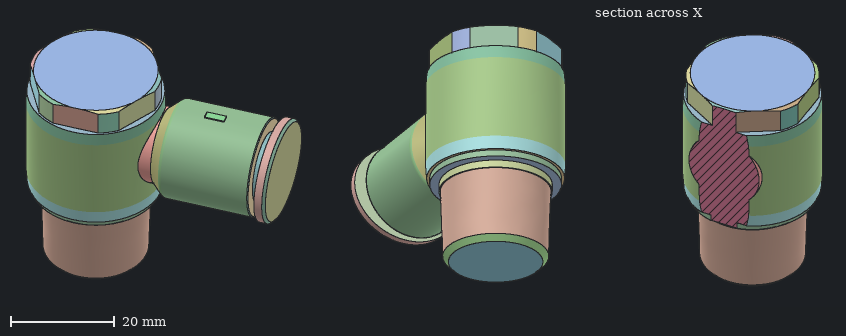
import cadquery as cq
import math

total_height = 44.8

body_radius = 13.5
body_taper = 0.2
body_bottom = 17.8
lower_band_top = 20.4
upper_band_bottom = 37.2
body_top = 39.8
washer_radius = 12.7
washer_bottom = 16.5
collar_radius = 10.9
collar_bottom = 15.0
thread_top_radius = 10.68
thread_taper = 1 / 32
tip_chamfer = 1.15

hex_across_flats = 24.0
hex_corner_radius = 12.85
hex_chamfer_height = 0.3

arm_axis_height = 29.7
neck_radius = 7.6
cone_start = 13.73
cone_end = 16.0
cone_end_radius = 9.65
sleeve_start = 16.6
sleeve_end = 34.3
sleeve_radius = 9.9
sleeve_end_chamfer = 0.2

release_radius = 7.1
flange_start = 36.05
flange_end = 38.2
flange_half_width = 11.35
flange_half_height = 9.8
flange_chamfer = 0.55

mark_start = 22.35
mark_length = 4.0
mark_width = 1.6
mark_rise = 0.2


def make_stem_and_body():
    band_radius = body_radius - body_taper
    thread_bottom_radius = thread_top_radius - thread_taper * (collar_bottom - tip_chamfer)
    profile = [
        (0, 0),
        (thread_bottom_radius - tip_chamfer, 0),
        (thread_bottom_radius, tip_chamfer),
        (thread_top_radius, collar_bottom),
        (collar_radius, collar_bottom),
        (collar_radius, washer_bottom),
        (washer_radius, washer_bottom),
        (washer_radius, body_bottom),
        (band_radius, body_bottom),
        (body_radius, lower_band_top),
        (body_radius, upper_band_bottom),
        (band_radius, body_top),
        (0, body_top),
    ]
    return cq.Workplane("XZ").polyline(profile).close().revolve(360, (0, 0), (0, 1))


def make_hex_head():
    head_height = total_height - body_top
    across_corners = hex_across_flats / math.cos(math.pi / 6)
    hexagon = (
        cq.Workplane("XY")
        .workplane(offset=body_top)
        .polygon(6, across_corners)
        .extrude(head_height)
    )
    turned_profile = [
        (0, body_top),
        (hex_corner_radius, body_top),
        (hex_corner_radius, total_height - hex_chamfer_height),
        (hex_across_flats / 2, total_height),
        (0, total_height),
    ]
    turned = cq.Workplane("XZ").polyline(turned_profile).close().revolve(360, (0, 0), (0, 1))
    return hexagon.intersect(turned)


def make_arm():
    profile = (
        cq.Workplane("XZ", origin=(0, 0, arm_axis_height))
        .moveTo(0, 0)
        .lineTo(0, neck_radius)
        .lineTo(cone_start, neck_radius)
        .lineTo(cone_end, cone_end_radius)
        .tangentArcPoint((sleeve_start, sleeve_radius), relative=False)
        .lineTo(sleeve_end - sleeve_end_chamfer, sleeve_radius)
        .lineTo(sleeve_end, sleeve_radius - sleeve_end_chamfer)
        .lineTo(sleeve_end, 0)
        .close()
    )
    return profile.revolve(360, (0, 0), (1, 0))


def make_release_collar():
    tube = (
        cq.Workplane("YZ", origin=(sleeve_end, 0, arm_axis_height))
        .circle(release_radius)
        .extrude(flange_start - sleeve_end)
    )
    flange = (
        cq.Workplane("YZ", origin=(flange_start, 0, arm_axis_height))
        .ellipse(flange_half_width, flange_half_height)
        .extrude(flange_end - flange_start)
        .faces(">X")
        .chamfer(flange_chamfer)
    )
    return tube.union(flange)


def make_mark():
    return (
        cq.Workplane("XY", origin=(mark_start + mark_length / 2, 0, arm_axis_height))
        .rect(mark_length, mark_width)
        .extrude(sleeve_radius + mark_rise)
    )


result = (
    make_stem_and_body()
    .union(make_hex_head())
    .union(make_arm())
    .union(make_release_collar())
    .union(make_mark())
)